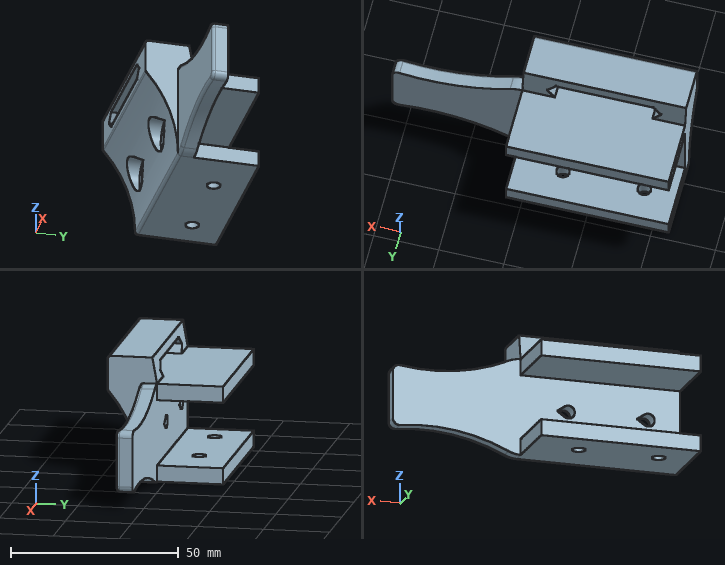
import cadquery as cq
import math

total_length = 90
plate = total_length / 18
body_length = 10 * plate
handle_length = total_length - body_length
depth = 7 * plate
height = 38.0
edge_radius = 1.0
overlap = 0.9

wall_front = 2 * plate
wall_back = 3 * plate
upper_flange_top = 6 * plate
upper_flange_bottom = upper_flange_top - plate
head_taper = 1.4
scoop_radius = 8 * plate

window_length = 7 * plate
window_height = plate
window_z = 6.5 * plate

screw_xs = (2 * plate, 7 * plate)
screw_z = 3 * plate
screw_radius = 2.0
screw_head_radius = plate
screw_seat_y = wall_front
teardrop_tip_ratio = 1.76
flange_hole_y = 5 * plate

handle_top = 6 * plate
handle_mid = handle_top / 2
shoulder_radius = 9.0
waist_half_height = 8.7
waist_radius = 12 * plate
handle_corner_radius = 2.0


def make_body():
    """Extrude the YZ section with its two flanges and scooped front."""
    scoop_center_y = wall_front - scoop_radius
    scoop_center_z = edge_radius
    scoop_end_angle = math.acos(-scoop_center_y / scoop_radius)

    def scoop_point(angle):
        return (
            scoop_center_y + scoop_radius * math.cos(angle),
            scoop_center_z + scoop_radius * math.sin(angle),
        )

    scoop_top = scoop_point(scoop_end_angle)
    body = (
        cq.Workplane("YZ")
        .moveTo(wall_front, 0)
        .lineTo(depth, 0)
        .lineTo(depth, plate)
        .lineTo(wall_back, plate)
        .lineTo(wall_back, upper_flange_bottom)
        .lineTo(depth, upper_flange_bottom)
        .lineTo(depth, upper_flange_top)
        .lineTo(wall_back, upper_flange_top)
        .lineTo(wall_back - head_taper, height)
        .lineTo(0, height)
        .lineTo(*scoop_top)
        .threePointArc(scoop_point(scoop_end_angle / 2), scoop_point(0))
        .radiusArc((wall_front + edge_radius, 0), -edge_radius)
        .close()
        .extrude(body_length)
    )
    return body


def make_handle():
    """Waisted plate, symmetric about its mid height, with a rounded front rim."""
    shoulder_center_v = handle_mid - shoulder_radius
    waist_center_v = waist_half_height + waist_radius
    center_rise = waist_center_v - shoulder_center_v
    center_distance = waist_radius + shoulder_radius
    waist_u = math.sqrt(center_distance**2 - center_rise**2)
    lean = math.asin(waist_u / center_distance)
    shoulder_end = (
        shoulder_radius * math.sin(lean),
        shoulder_center_v + shoulder_radius * math.cos(lean),
    )
    tip_drop = math.sqrt(waist_radius**2 - (handle_length - waist_u) ** 2)
    tip_v = waist_center_v - tip_drop

    half = (
        cq.Workplane("XZ", origin=(body_length, wall_back, handle_mid))
        .lineTo(0, handle_mid)
        .radiusArc(shoulder_end, shoulder_radius)
        .threePointArc((waist_u, waist_half_height), (handle_length, tip_v))
        .lineTo(handle_length, 0)
        .close()
        .extrude(plate)
    )
    half = half.edges("|Y").edges(">(1, 0, 1)").fillet(handle_corner_radius)
    handle = half.union(half.mirror("XY", (0, 0, handle_mid))).clean()
    rim = handle.faces("<Y").edges().filter(lambda edge: edge.Center().x > body_length + overlap)
    return handle.newObject(rim.vals()).fillet(edge_radius)


def teardrop(radius, x, front, back):
    """Circle with a tangent point toward +X, running along Y."""
    tangent_angle = math.acos(1 / teardrop_tip_ratio)
    tangent_x = radius * math.cos(tangent_angle)
    tangent_z = radius * math.sin(tangent_angle)
    return (
        cq.Workplane("XZ", origin=(x, back, screw_z))
        .moveTo(tangent_x, tangent_z)
        .threePointArc((-radius, 0), (tangent_x, -tangent_z))
        .lineTo(radius * teardrop_tip_ratio, 0)
        .close()
        .extrude(back - front)
    )


def make_window():
    """Slot with 45 degree pointed ends, cut right through the head along Y."""
    half_length = window_length / 2
    half_height = window_height / 2
    straight_half = half_length - half_height
    return (
        cq.Workplane("XZ", origin=(body_length / 2, wall_back + overlap, window_z))
        .polyline([
            (-half_length, 0),
            (-straight_half, half_height),
            (straight_half, half_height),
            (half_length, 0),
            (straight_half, -half_height),
            (-straight_half, -half_height),
        ])
        .close()
        .extrude(wall_back + 2 * overlap)
    )


body = make_body()
body = body.edges("|X").edges("<Y").fillet(edge_radius)
body = body.cut(make_window())

for screw_x in screw_xs:
    body = body.cut(teardrop(screw_head_radius, screw_x, 0, screw_seat_y))
    body = body.cut(teardrop(screw_radius, screw_x, 0, wall_back + overlap))
    flange_hole = (
        cq.Workplane("XY", origin=(screw_x, flange_hole_y, -overlap))
        .circle(screw_radius)
        .extrude(plate + 2 * overlap)
    )
    body = body.cut(flange_hole)

result = body.union(make_handle())